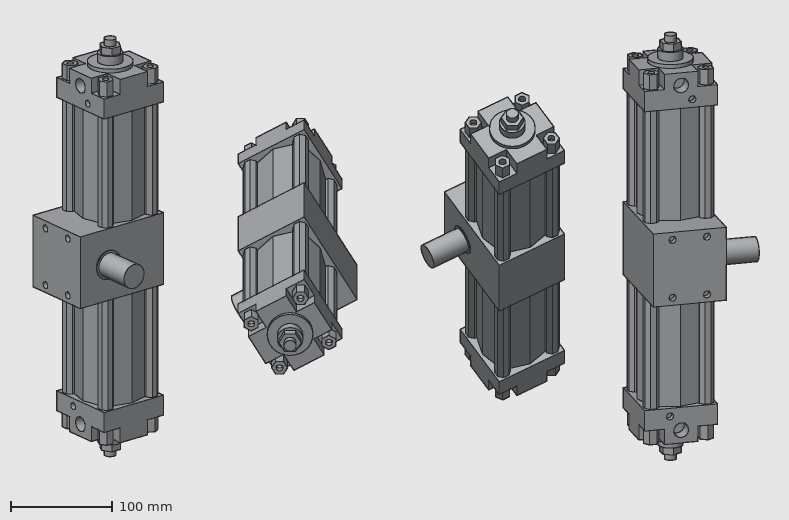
import cadquery as cq
import math

overall_length = 442.0

tip_diameter = 12.0
tip_length = 7.0
nut_across_flats = 19.0
nut_length = 8.0
boss_diameter = 25.0
boss_length = 9.5
collar_diameter = 45.0
collar_length = 4.0

cap_width = 75.0
cap_length = 37.0
notch_width = 20.5
notch_depth = 16.0
port_diameter = 15.0
port_depth = 15.0
port_from_cap_face = 13.3
vent_diameter = 7.0
vent_depth = 6.5
vent_from_cap_face = 28.7
vent_offset = 11.5

tie_rod_spacing = 56.0
tie_rod_sides = 8
tie_rod_across_corners = 16.0
screw_across_corners = 16.0
socket_diameter = 6.5
socket_depth = 6.0
socket_tip_angle = 118.0

barrel_width = 54.0
barrel_across_ridges = 68.5

housing_height = 76.0
housing_depth = 105.0
mount_diameter = 7.0
mount_depth = 7.0
mount_spacing_x = 35.5
mount_spacing_z = 60.0
shaft_diameter = 25.0
shaft_length = 40.0
shaft_offset = 32.3
flange_diameter = 30.0
flange_length = 1.0

end_z = overall_length / 2
tip_base_z = end_z - tip_length
nut_base_z = tip_base_z - nut_length
boss_base_z = nut_base_z - boss_length
cap_face_z = boss_base_z - collar_length
cap_base_z = cap_face_z - cap_length
notch_floor_z = cap_face_z - notch_depth

half_cap = cap_width / 2
tie_rod_offset = tie_rod_spacing / 2
housing_front_y = half_cap - housing_depth
corner_signs = [(1, 1), (-1, 1), (-1, -1), (1, -1)]


def disc(diameter, base_z, length):
    return cq.Workplane("XY", origin=(0, 0, base_z)).circle(diameter / 2).extrude(length)


def prism(sides, across_corners, base_z, length, turn=0.0):
    """Regular prism on the Z axis, with one corner at angle turn from +X."""
    outline = cq.Workplane("XY", origin=(0, 0, base_z)).polygon(sides, across_corners)
    return outline.extrude(length).rotate((0, 0, 0), (0, 0, 1), turn)


def hole_from_front(diameter, depth, x, front_y, z):
    """Blind round cutter going in the +Y direction from a front face."""
    return cq.Workplane("XZ", origin=(x, front_y, z)).circle(diameter / 2).extrude(-depth)


def screw_socket():
    """Round socket with a conical bottom, sunk from the cap face."""
    radius = socket_diameter / 2
    tip_length_below = radius / math.tan(math.radians(socket_tip_angle / 2))
    wall_base_z = cap_face_z - socket_depth
    half_section = [
        (0, cap_face_z),
        (radius, cap_face_z),
        (radius, wall_base_z),
        (0, wall_base_z - tip_length_below),
    ]
    return cq.Workplane("XZ").polyline(half_section).close().revolve(360, (0, 0, 0), (0, 1, 0))


def end_cap(vent_x):
    cap = cq.Workplane("XY", origin=(0, 0, cap_base_z)).rect(cap_width, cap_width).extrude(cap_length)
    notch_centre = half_cap - notch_width / 2
    notches = (
        cq.Workplane("XY", origin=(0, 0, notch_floor_z))
        .rect(2 * notch_centre, 2 * notch_centre, forConstruction=True)
        .vertices()
        .rect(notch_width, notch_width)
        .extrude(notch_depth)
    )
    port = hole_from_front(port_diameter, port_depth, 0, -half_cap, cap_face_z - port_from_cap_face)
    vent = hole_from_front(
        vent_diameter, vent_depth, vent_x, -half_cap, cap_face_z - vent_from_cap_face
    )
    return cap.cut(notches).cut(port).cut(vent)


def barrel():
    corner = barrel_width / 2
    ridge = barrel_across_ridges / 2
    outline = [
        (ridge, 0),
        (corner, corner),
        (0, ridge),
        (-corner, corner),
        (-ridge, 0),
        (-corner, -corner),
        (0, -ridge),
        (corner, -corner),
    ]
    return cq.Workplane("XY").polyline(outline).close().extrude(cap_base_z)


def rod_end():
    nut_across_corners = nut_across_flats / math.cos(math.pi / 6)
    return (
        disc(collar_diameter, cap_face_z, collar_length)
        .union(disc(boss_diameter, boss_base_z, boss_length))
        .union(prism(6, nut_across_corners, nut_base_z, nut_length, 90))
        .union(disc(tip_diameter, tip_base_z, tip_length))
    )


def tie_rod_and_screw(quarter):
    """Tie rod with its screw head; each head is turned a quarter from the one before."""
    x_sign, y_sign = corner_signs[quarter]
    rod = prism(tie_rod_sides, tie_rod_across_corners, 0, cap_base_z, 180 / tie_rod_sides)
    head = prism(6, screw_across_corners, notch_floor_z, notch_depth, 90 * quarter)
    place = (x_sign * tie_rod_offset, y_sign * tie_rod_offset, 0)
    return [rod.translate(place), head.cut(screw_socket()).translate(place)]


def cylinder_half(vent_x):
    """Everything on the +Z side of the housing, with the cap's vent at vent_x."""
    half = barrel().union(end_cap(vent_x)).union(rod_end())
    for quarter in range(len(corner_signs)):
        for piece in tie_rod_and_screw(quarter):
            half = half.union(piece)
    return half


def housing():
    centre_y = half_cap - housing_depth / 2
    return cq.Workplane("XY").box(cap_width, housing_depth, housing_height).translate((0, centre_y, 0))


def mounting_holes():
    return (
        cq.Workplane("XZ", origin=(0, housing_front_y, 0))
        .rect(mount_spacing_x, mount_spacing_z, forConstruction=True)
        .vertices()
        .circle(mount_diameter / 2)
        .extrude(-mount_depth)
    )


def output_shaft():
    flange = cq.Workplane("YZ", origin=(half_cap, -shaft_offset, 0)).circle(flange_diameter / 2)
    shaft_start = half_cap + flange_length
    shaft = cq.Workplane("YZ", origin=(shaft_start, -shaft_offset, 0)).circle(shaft_diameter / 2)
    return flange.extrude(flange_length).union(shaft.extrude(shaft_length))


upper = cylinder_half(vent_offset)
lower = cylinder_half(-vent_offset).mirror("XY")
result = upper.union(lower).union(housing()).cut(mounting_holes()).union(output_shaft())